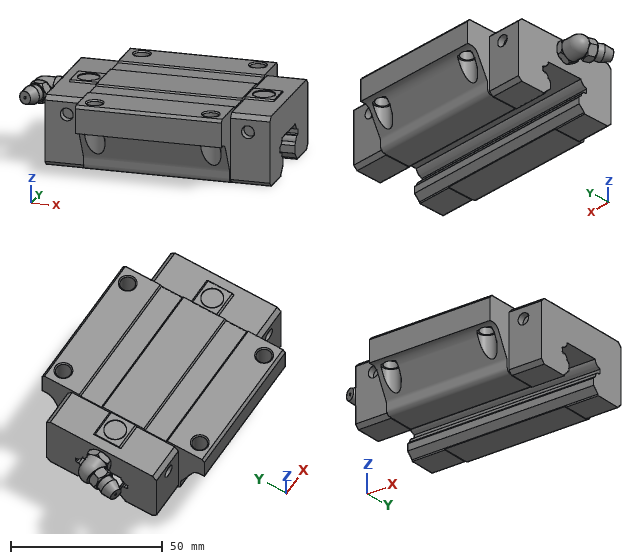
import cadquery as cq
import math


block_length = 50.4
block_bottom = 0.3
block_top = 25.4
flange_half_width = 31.5
flange_underside = 15.75
flange_root_half_width = 27.9
flange_root_radius = 3.5
flange_chamfer_width = 0.9
flange_chamfer_height = 1.1
foot_half_width = 22.3
foot_height = 4.8
foot_blend_radius = 2.2
foot_bottom_radius = 1.8

groove_depth = 0.5
groove_inner = 8.0
groove_outer = 17.1
groove_wall_run = 0.5

hole_pitch_x = 40.0
hole_pitch_y = 53.0
hole_diameter = 5.3
hole_chamfer = 0.45
relief_diameter = 6.7
relief_top = 15.5

housing_length = 10.0
plate_thickness = 3.6
cap_half_width = 21.4
cap_height = 24.3
cap_chamfer = 1.5
pad_height = 0.5
pad_base_width = 10.6
pad_top_width = 9.3
port_diameter = 7.5
port_depth = 0.4
side_hole_diameter = 4.4
side_hole_depth = 2.7
side_hole_x = 31.2
side_hole_z = 18.5

mouth_half_width = 9.1
mouth_lead_half_width = 8.95
mouth_lead_height = 0.5
throat_half_width = 6.6
throat_bottom = 2.9
throat_top = 5.55
lower_lip_start = (7.6, 6.5)
lower_lip_middle = (8.0, 7.5)
lower_lip_end = (8.9, 8.3)
side_groove_half_width = 10.1
side_groove_ramp_start = 9.7
side_groove_bottom = 8.7
side_groove_top = 10.2
upper_lip_start = (8.9, 10.7)
upper_lip_middle = (8.0, 11.6)
roof_half_width = 7.4
roof_height = 12.9

nipple_z = 19.5
collar_length = 0.4
collar_diameter = 6.4
base_hex_flats = 8.0
base_hex_length = 2.3
base_hex_end_radius = 4.1
elbow_diameter = 8.0
elbow_length = 4.0
spout_angle = 20
spout_offset = 5.55
spout_hex_flats = 7.0
spout_hex_start = 2.6
spout_hex_end = 6.35
spout_hex_end_radius = 3.3
neck_radius = 2.9
shoulder_radius = 3.2
shoulder_distance = 8.9
tip_radius = 2.2
tip_distance = 12.4
grease_bore_diameter = 0.8
grease_bore_depth = 0.9

block_end = block_length / 2
housing_end = block_end + housing_length
cap_end = housing_end + plate_thickness
base_end = collar_length + base_hex_length


def mirrored_outline(right_half):
    """Close a half outline (y, z), listed from top to bottom, by its mirror image in Y."""
    return right_half + [(-y, z) for y, z in reversed(right_half)]


def prism_along_x(points, start, length):
    return cq.Workplane("YZ", origin=(start, 0, 0)).polyline(points).close().extrude(length)


def revolved(profile):
    """Solid of revolution about local Z from (radius, distance) points that start and end on the axis."""
    return cq.Workplane("XZ").polyline(profile).close().revolve(360, (0, 0, 0), (0, 1, 0))


def fillet_long_edges(body, y, z, radius):
    """Round the two edges along X that pass through (+-y, z)."""
    for side in (-1, 1):
        body = body.edges(cq.selectors.NearestToPointSelector((0, side * y, z))).fillet(radius)
    return body


def carriage_block():
    half_outline = [
        (flange_half_width - flange_chamfer_width, block_top),
        (flange_half_width, block_top - flange_chamfer_height),
        (flange_half_width, flange_underside),
        (flange_root_half_width, flange_underside),
        (foot_half_width, foot_height),
        (foot_half_width, block_bottom),
    ]
    body = prism_along_x(mirrored_outline(half_outline), -block_end, block_length)
    body = fillet_long_edges(body, flange_root_half_width, flange_underside, flange_root_radius)
    body = fillet_long_edges(body, foot_half_width, foot_height, foot_blend_radius)
    return fillet_long_edges(body, foot_half_width, block_bottom, foot_bottom_radius)


def top_groove(side):
    floor = block_top - groove_depth
    outline = [
        (side * groove_inner, block_top),
        (side * (groove_inner + groove_wall_run), floor),
        (side * (groove_outer - groove_wall_run), floor),
        (side * groove_outer, block_top),
    ]
    return prism_along_x(outline, -block_end, block_length)


def mounting_hole_cutters():
    """Chamfered through holes with a wider relief cut into the flank below the flange."""
    hole_radius = hole_diameter / 2
    mouth_radius = hole_radius + hole_chamfer
    relief_radius = relief_diameter / 2
    profile = [
        (0, block_bottom),
        (relief_radius, block_bottom),
        (relief_radius, relief_top),
        (hole_radius, relief_top),
        (hole_radius, block_top - hole_chamfer),
        (mouth_radius, block_top),
        (0, block_top),
    ]
    cutter = revolved(profile)
    places = cq.Workplane("XY").rect(hole_pitch_x, hole_pitch_y, forConstruction=True).vertices()
    return places.eachpoint(lambda place: cutter.val().moved(place), combine="a")


def end_cap(side):
    """Housing and end plate, with a raised port pad on top and a hole in the -Y and +Y sides."""
    start = block_end if side > 0 else -cap_end
    cap = (
        cq.Workplane("XY", origin=(start, 0, 0))
        .box(cap_end - block_end, 2 * cap_half_width, cap_height, centered=(False, True, False))
        .edges("|X")
        .chamfer(cap_chamfer)
    )
    pad_outline = mirrored_outline([
        (pad_top_width / 2, cap_height + pad_height),
        (pad_base_width / 2, cap_height),
    ])
    pad_start = block_end if side > 0 else -housing_end
    cap = cap.union(prism_along_x(pad_outline, pad_start, housing_length))

    port_x = side * (block_end + housing_end) / 2
    port_floor = cap_height + pad_height - port_depth
    port = cq.Workplane("XY", origin=(port_x, 0, port_floor)).circle(port_diameter / 2).extrude(port_depth)
    cap = cap.cut(port)

    for face_y, inward in ((-cap_half_width, 1), (cap_half_width, -1)):
        hole = (
            cq.Workplane("XZ", origin=(side * side_hole_x, face_y, side_hole_z))
            .circle(side_hole_diameter / 2)
            .extrude(-inward * side_hole_depth)
        )
        cap = cap.cut(hole)
    return cap


def rail_channel():
    """Rail-shaped passage whose walls carry rounded seal lips above and below a side groove."""
    passage = (
        cq.Workplane("YZ", origin=(-cap_end, 0, 0))
        .moveTo(0, 0)
        .lineTo(mouth_half_width, 0)
        .lineTo(mouth_lead_half_width, mouth_lead_height)
        .lineTo(throat_half_width, throat_bottom)
        .lineTo(throat_half_width, throat_top)
        .lineTo(*lower_lip_start)
        .threePointArc(lower_lip_middle, lower_lip_end)
        .lineTo(side_groove_ramp_start, lower_lip_end[1])
        .lineTo(side_groove_half_width, side_groove_bottom)
        .lineTo(side_groove_half_width, side_groove_top)
        .lineTo(*upper_lip_start)
        .threePointArc(upper_lip_middle, (roof_half_width, roof_height))
        .lineTo(0, roof_height)
        .close()
        .extrude(2 * cap_end)
    )
    return passage.union(passage.mirror("XZ"))


def chamfered_hexagon(flats, end_radius, start, end):
    """Hexagon along local Z whose corners are bevelled at both ends down to end_radius."""
    corner_radius = flats / math.cos(math.pi / 6) / 2
    bevel = corner_radius - end_radius
    envelope = revolved([
        (0, start),
        (end_radius, start),
        (corner_radius, start + bevel),
        (corner_radius, end - bevel),
        (end_radius, end),
        (0, end),
    ])
    prism = cq.Workplane("XY", origin=(0, 0, start)).polygon(6, 2 * corner_radius).extrude(end - start)
    return prism.intersect(envelope)


def nipple_base():
    """Collar and hexagon along local Z."""
    collar = cq.Workplane("XY").circle(collar_diameter / 2).extrude(collar_length)
    return collar.union(
        chamfered_hexagon(base_hex_flats, base_hex_end_radius, collar_length, base_end)
    )


def nipple_elbow():
    """Round-ended elbow along local Z, starting on the base hexagon."""
    elbow = cq.Workplane("XY", origin=(0, 0, base_end)).circle(elbow_diameter / 2).extrude(elbow_length)
    dome = cq.Workplane("XY", origin=(0, 0, base_end + elbow_length)).sphere(elbow_diameter / 2)
    return elbow.union(dome)


def nipple_spout():
    """Hexagon, flared neck and tapered tip along local Z, starting on the elbow axis."""
    hex_nut = chamfered_hexagon(spout_hex_flats, spout_hex_end_radius, spout_hex_start, spout_hex_end)
    head = revolved([
        (0, 0),
        (neck_radius, 0),
        (neck_radius, spout_hex_end),
        (shoulder_radius, shoulder_distance),
        (tip_radius, tip_distance),
        (0, tip_distance),
    ])
    bore = (
        cq.Workplane("XY", origin=(0, 0, tip_distance - grease_bore_depth))
        .circle(grease_bore_diameter / 2)
        .extrude(grease_bore_depth)
    )
    return hex_nut.union(head).cut(bore)


def turn_to_base_axis(solid):
    """Turn local Z to -X, which puts two base hexagon corners above and below the axis."""
    return solid.rotate((0, 0, 0), (0, 1, 0), -90)


def turn_to_spout_axis(solid):
    """Turn local Z to -Y, lean it outward and move it along the elbow axis."""
    turned = solid.rotate((0, 0, 0), (1, 0, 0), 90)
    leaned = turned.rotate((0, 0, 0), (0, 0, 1), -spout_angle)
    return leaned.translate((-spout_offset, 0, 0))


def grease_nipple():
    """Base on the end plate, elbow ending in a flat seat, and the spout standing on that seat."""
    seat_space = (
        cq.Workplane("XY", origin=(0, 0, spout_hex_start))
        .circle(elbow_diameter)
        .extrude(elbow_diameter)
    )
    elbow = turn_to_base_axis(nipple_elbow()).cut(turn_to_spout_axis(seat_space))
    base = turn_to_base_axis(nipple_base())
    spout = turn_to_spout_axis(nipple_spout())
    return base.union(elbow).union(spout).translate((-cap_end, 0, nipple_z))


carriage = carriage_block()
for groove_side in (-1, 1):
    carriage = carriage.cut(top_groove(groove_side))
carriage = carriage.cut(mounting_hole_cutters())

for cap_side in (-1, 1):
    carriage = carriage.union(end_cap(cap_side))
carriage = carriage.cut(rail_channel())

result = carriage.union(grease_nipple())